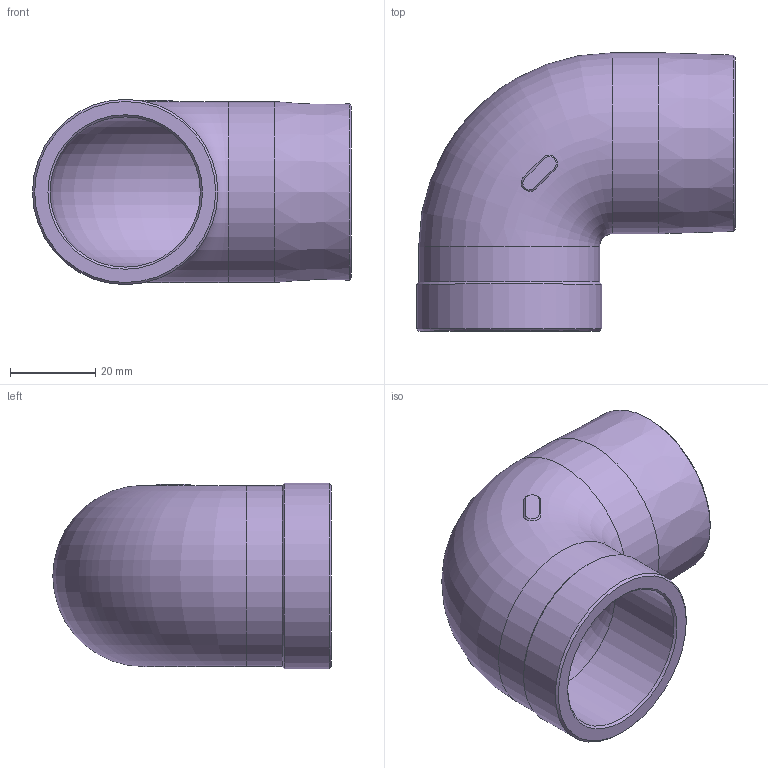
import cadquery as cq
import math

body_diameter = 42.4
bore_diameter = 35.2
body_radius = body_diameter / 2
bore_radius = bore_diameter / 2
inner_bend_radius = 3.0
bend_radius = body_radius + inner_bend_radius
mid_bend_angle = 45.0
mid_bend_offset = bend_radius * (1 - math.cos(math.radians(mid_bend_angle)))

inlet_length = 44.0
collar_diameter = 43.4
collar_length = 11.0
collar_chamfer = 0.5
collar_radius = collar_diameter / 2
collar_step = collar_radius - body_radius
bore_chamfer = 0.5

outlet_length = 53.0
spigot_start = 35.0
spigot_length = outlet_length - spigot_start
spigot_taper = 1 / 16
spigot_chamfer = 0.5

plate_width = 4.1
plate_length = 10.6
plate_height = 0.3
plate_bevel = 0.45
plate_embedded_depth = 1.0


def elbow_bar(diameter, outlet_end):
    """Round bar following the pipe axis from the inlet mouth, round the bend, to the given X."""
    axis = (
        cq.Workplane("XY")
        .moveTo(0, -inlet_length)
        .lineTo(0, -bend_radius)
        .threePointArc((mid_bend_offset, -mid_bend_offset), (bend_radius, 0))
        .lineTo(outlet_end, 0)
    )
    mouth_plane = cq.Plane(origin=(0, -inlet_length, 0), xDir=(1, 0, 0), normal=(0, 1, 0))
    return cq.Workplane(mouth_plane).circle(diameter / 2).sweep(axis)


def make_collar():
    """Thicker rim at the inlet mouth, with a bevelled step up from the tube and a chamfered mouth."""
    collar_start = inlet_length - collar_length
    profile = [
        (bore_radius, -(collar_start - collar_step)),
        (body_radius, -(collar_start - collar_step)),
        (collar_radius, -collar_start),
        (collar_radius, -(inlet_length - collar_chamfer)),
        (collar_radius - collar_chamfer, -inlet_length),
        (bore_radius, -inlet_length),
    ]
    return cq.Workplane("XY").polyline(profile).close().revolve(360, (0, 0, 0), (0, 1, 0))


def make_spigot():
    """Tapered end of the outlet leg with a chamfered tip."""
    tip_radius = body_radius - spigot_length * spigot_taper / 2
    profile = [
        (spigot_start, 0),
        (spigot_start, body_radius),
        (outlet_length - spigot_chamfer, tip_radius),
        (outlet_length, tip_radius - spigot_chamfer),
        (outlet_length, 0),
    ]
    return cq.Workplane("XY").polyline(profile).close().revolve(360, (0, 0, 0), (1, 0, 0))


def make_mouth_chamfer():
    """Cone that bevels the bore at the inlet mouth."""
    mouth_radius = bore_radius + bore_chamfer
    profile = [
        (0, -inlet_length),
        (mouth_radius, -inlet_length),
        (0, -inlet_length + mouth_radius),
    ]
    return cq.Workplane("XY").polyline(profile).close().revolve(360, (0, 0, 0), (0, 1, 0))


def make_plate():
    """Slot-shaped plate with bevelled edges, centred on the bend running along the pipe axis."""
    top = body_radius + plate_height
    plate = (
        cq.Workplane("XY", origin=(mid_bend_offset, -mid_bend_offset, top - plate_embedded_depth))
        .slot2D(plate_length, plate_width, mid_bend_angle)
        .extrude(plate_embedded_depth)
    )
    return plate.faces(">Z").chamfer(plate_bevel)


body = elbow_bar(body_diameter, spigot_start)
body = body.union(make_collar()).union(make_spigot()).union(make_plate())
result = body.cut(elbow_bar(bore_diameter, outlet_length)).cut(make_mouth_chamfer())